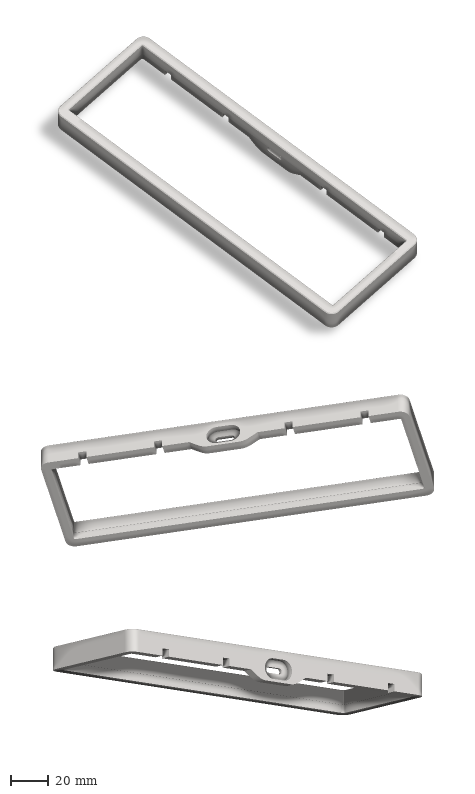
import cadquery as cq

length = 201.5
width = 70.1
frame_height = 12.5
total_height = 17.3
tab_drop = total_height - frame_height

end_wall = 5.0
side_wall = 6.0
corner_radius = 5.0
top_chamfer = 0.5

recess_height = 4.5
recess_depth = 0.2
opening_corner_radius = 0.5
recess_corner_radius = 1.0

notch_width = 4.5
notch_height = 4.0
notch_distances = (35.7, 77.2)

tab_top_width = 37.5
tab_bottom_width = 22.5
tab_corner_radius = 10.0
tab_thickness = side_wall - recess_depth

slot_width = 3.2
slot_length = 10.5
slot_depth = 2.0
slot_center_z = 2.2

clearance_margin = 4.0
clearance_depth = tab_thickness - slot_depth

back = width / 2
opening_length = length - 2 * end_wall
opening_width = width - 2 * side_wall


def make_block(size_x, size_y, size_z):
    """Box centred in X and Y, standing on the bottom plane."""
    return cq.Workplane("XY").box(size_x, size_y, size_z, centered=(True, True, False))


def make_frame():
    outside = make_block(length, width, frame_height).edges("|Z").fillet(corner_radius)
    opening = make_block(opening_length, opening_width, frame_height)
    opening = opening.edges("|Z").fillet(opening_corner_radius)
    frame = outside.cut(opening).faces(">Z").edges().chamfer(top_chamfer)
    recess = make_block(
        opening_length + 2 * recess_depth,
        opening_width + 2 * recess_depth,
        recess_height,
    )
    recess = recess.edges("|Z").fillet(recess_corner_radius)
    return frame.cut(recess)


def make_notches():
    centers = [(side * distance, back - side_wall / 2) for distance in notch_distances for side in (-1, 1)]
    return (
        cq.Workplane("XY")
        .pushPoints(centers)
        .box(notch_width, side_wall, notch_height, centered=(True, True, False))
    )


def make_tab():
    return (
        cq.Workplane("XZ", origin=(0, back, 0))
        .moveTo(-tab_top_width / 2, 0)
        .lineTo(-tab_bottom_width / 2, -tab_drop)
        .lineTo(tab_bottom_width / 2, -tab_drop)
        .lineTo(tab_top_width / 2, 0)
        .close()
        .extrude(tab_thickness)
        .edges("|Y and <Z")
        .fillet(tab_corner_radius)
    )


def make_slot():
    outside_face = cq.Workplane("XZ", origin=(0, back, slot_center_z))
    slot = outside_face.slot2D(slot_length, slot_width).extrude(side_wall)
    clearance = outside_face.slot2D(
        slot_length + 2 * clearance_margin,
        slot_width + 2 * clearance_margin,
    ).extrude(clearance_depth)
    return slot.union(clearance)


result = make_frame().cut(make_notches()).union(make_tab()).cut(make_slot())